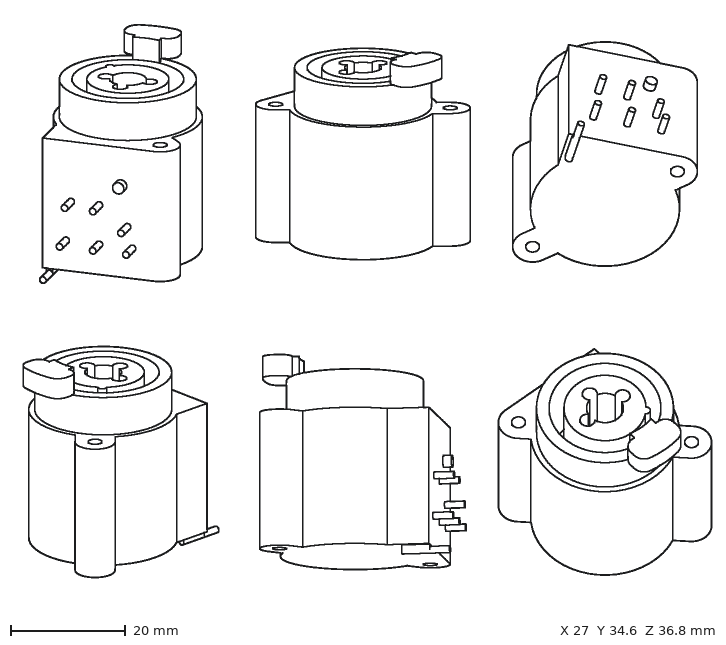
import cadquery as cq
import math


body_height = 24.1
body_radius = 13.0
wall_x = -10.5
mount_y = -15.0

ear_radius = 3.5
ear_hole_diameter = 2.4
ear_x = 10.0
ear_y = mount_y + ear_radius
ear_centres = [(-ear_x, -ear_y), (ear_x, ear_y)]
ear_reach = 10.0
ear_angle = -45.0

collar_radius = 11.95
collar_height = 7.0
rim_z = body_height + collar_height
groove_radius = 9.75
socket_depth = 15.0
socket_floor_z = rim_z - socket_depth
core_radius = 7.15
key_radius = 0.75
key_angle = 135.0

jack_radius = 3.2
contact_radius = 1.3
contact_circle_radius = 4.05
contact_angles = [0.0, 180.0, 270.0]

peg_diameter = 2.1
peg_length = 1.5
peg_x = 4.0
peg_z = 17.05

pin_diameter = 1.2
pin_length = 3.5
lower_row_z = 5.65
middle_row_z = 9.55
upper_row_z = 12.95
pin_places = [
    (-6.13, lower_row_z),
    (0.0, lower_row_z),
    (6.13, lower_row_z),
    (5.2, middle_row_z),
    (-5.2, upper_row_z),
    (0.0, upper_row_z),
]

ground_x = -9.2
ground_z = -0.9
ground_inner_y = -10.05

latch_height = 3.75
latch_gap = 0.45
latch_half_width = 5.0
latch_back_radius = 16.1
latch_back_corner_y = 13.55
latch_front_corner_y = 12.65
latch_front_corner_radius = 2.0
latch_neck_width = 4.9
latch_foot_radius = 10.6


def disc(radius, height, base_z, x=0.0, y=0.0):
    """Upright cylinder standing on base_z."""
    return cq.Workplane("XY", origin=(x, y, base_z)).circle(radius).extrude(height)


def rod(x, z, diameter, start_y, length):
    """Round rod that runs from start_y toward -Y."""
    return cq.Workplane("XZ", origin=(x, start_y, z)).circle(diameter / 2).extrude(length)


def polar(radius, angle):
    """Point at the given radius and angle in degrees about the socket axis."""
    return radius * math.cos(math.radians(angle)), radius * math.sin(math.radians(angle))


def make_ear(x, y):
    """Round-ended arm that points from the ear centre back into the housing."""
    direction = ear_angle if x < 0 else ear_angle + 180.0
    arm = (
        cq.Workplane("XY")
        .center(ear_reach / 2, 0)
        .rect(ear_reach, 2 * ear_radius)
        .extrude(body_height)
        .rotate((0, 0, 0), (0, 0, 1), direction)
        .translate((x, y, 0))
    )
    return arm.union(disc(ear_radius, body_height, 0, x, y))


def make_plug_core():
    """Core with a key rib outside and a blind jack opening with three contact openings inside."""
    core = disc(core_radius, socket_depth, socket_floor_z)
    core = core.union(disc(key_radius, socket_depth, socket_floor_z, *polar(core_radius, key_angle)))
    core = core.cut(disc(jack_radius, socket_depth, socket_floor_z))
    for angle in contact_angles:
        place = polar(contact_circle_radius, angle)
        core = core.cut(disc(contact_radius, socket_depth, socket_floor_z, *place))
    return core


def make_housing():
    """Block with ears, collar, plug core and locating peg."""
    foot = (
        cq.Workplane("XY")
        .moveTo(wall_x, mount_y)
        .lineTo(ear_x, mount_y)
        .lineTo(ear_x, ear_y)
        .lineTo(0, 0)
        .lineTo(wall_x, 0)
        .close()
        .extrude(body_height)
    )
    housing = disc(body_radius, body_height, 0).union(foot)
    for x, y in ear_centres:
        housing = housing.union(make_ear(x, y))
    for x, y in ear_centres:
        housing = housing.cut(disc(ear_hole_diameter / 2, body_height, 0, x, y))

    collar = disc(collar_radius, collar_height, body_height)
    housing = housing.union(collar)
    housing = housing.cut(disc(groove_radius, socket_depth, socket_floor_z))

    peg = rod(peg_x, peg_z, peg_diameter, mount_y, peg_length)
    return housing.union(make_plug_core()).union(peg)


def make_latch():
    """Thumb pad with a neck, standing on the collar rim on a thin curved foot."""
    back_corner_radius = (
        (latch_back_radius**2 - latch_half_width**2 - latch_back_corner_y**2)
        / (2 * (latch_back_radius - latch_half_width))
    )
    back_corner_x = latch_half_width - back_corner_radius
    join_angle = math.degrees(math.atan2(latch_back_corner_y, back_corner_x))
    join_x, join_y = polar(latch_back_radius, join_angle)
    bend_x, bend_y = polar(back_corner_radius, join_angle / 2)
    back_bend = (back_corner_x + bend_x, latch_back_corner_y + bend_y)

    front_corner_x = latch_half_width - latch_front_corner_radius
    front_y = latch_front_corner_y - latch_front_corner_radius
    bend_x, bend_y = polar(latch_front_corner_radius, -45.0)
    front_bend = (front_corner_x + bend_x, latch_front_corner_y + bend_y)

    pad_z = rim_z + latch_gap
    pad = (
        cq.Workplane("XY", origin=(0, 0, pad_z))
        .moveTo(-front_corner_x, front_y)
        .lineTo(front_corner_x, front_y)
        .threePointArc(front_bend, (latch_half_width, latch_front_corner_y))
        .lineTo(latch_half_width, latch_back_corner_y)
        .threePointArc(back_bend, (join_x, join_y))
        .threePointArc((0, latch_back_radius), (-join_x, join_y))
        .threePointArc((-back_bend[0], back_bend[1]), (-latch_half_width, latch_back_corner_y))
        .lineTo(-latch_half_width, latch_front_corner_y)
        .threePointArc((-front_bend[0], front_bend[1]), (-front_corner_x, front_y))
        .close()
        .extrude(latch_height)
    )
    neck = (
        cq.Workplane("XY", origin=(0, latch_front_corner_y / 2, pad_z))
        .rect(latch_neck_width, latch_front_corner_y)
        .extrude(latch_height)
    )
    foot = (
        cq.Workplane("XY", origin=(0, latch_foot_radius / 2, rim_z))
        .rect(latch_neck_width, latch_foot_radius)
        .extrude(latch_gap)
        .intersect(disc(latch_foot_radius, latch_gap, rim_z))
    )
    inner_clearance = disc(groove_radius, latch_gap + latch_height, rim_z)
    return pad.union(neck).union(foot).cut(inner_clearance)


def make_solder_pin(x, z):
    """Straight pin that starts on the mounting face."""
    return rod(x, z, pin_diameter, mount_y, pin_length)


def make_ground_pin():
    """Round pin with a straight-sided web that joins it to the housing underside."""
    web_length = ground_inner_y - mount_y
    pin = rod(ground_x, ground_z, pin_diameter, ground_inner_y, web_length + pin_length)
    web = (
        cq.Workplane("XY", origin=(ground_x, mount_y + web_length / 2, ground_z))
        .rect(pin_diameter, web_length)
        .extrude(-ground_z)
    )
    return pin.union(web)


housing = make_housing()
latch = make_latch()
solder_pins = [make_solder_pin(x, z) for x, z in pin_places]
ground_pin = make_ground_pin()

result = cq.Compound.makeCompound(
    [
        housing.val(),
        latch.val(),
        *[pin.val() for pin in solder_pins],
        ground_pin.val(),
    ]
)